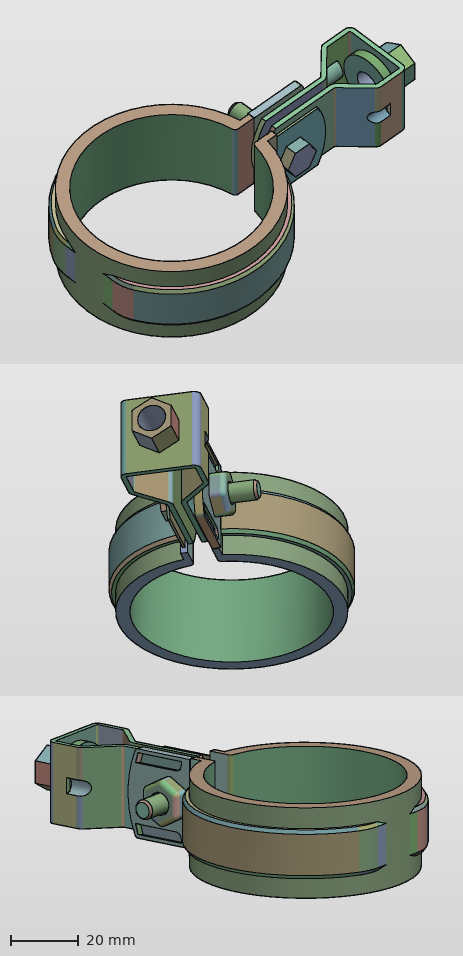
import cadquery as cq
import math


ring_outer_radius = 34.4
ring_wall = 4.3
ring_height = 28.0
ring_bore_radius = ring_outer_radius - ring_wall
band_outer_radius = 72.8 / 2
band_height = 15.1
band_chamfer_radial = 0.8
band_chamfer_axial = 1.2
band_flat_drop = 33.9
band_flat_blend = 15.0
ear_inner_x = 3.7
ear_outer_x = 5.9
ear_end_y = 37.6
ear_inner_fillet = 1.3

bolt_y = 45.1
bolt_diameter = 6.0
bolt_end_x = -20.0
bolt_tip_diameter = 4.9
bolt_tip_length = 0.9
bolt_head_flats = 10.0
bolt_head_height = 3.9
bolt_hole_diameter = 7.0
nut_flats = 13.0
nut_height = 5.0
nut_fillet = 1.5

thick_tab_outer_x = -6.5
thick_tab_inner_x = -ear_inner_x
thick_tab_end_y = 60.2
thick_tab_width = 27.6
thick_tab_sagitta = 2.8
thick_tab_corner_fillet = 1.3
thin_tab_inner_x = 4.5
thin_tab_thickness = 0.8
thin_tab_end_y = 58.4
thin_tab_width = 24.2
thin_tab_sagitta = 3.1
thin_tab_outer_x = thin_tab_inner_x + thin_tab_thickness

recess_depth = 0.9
recess_ramp_height = 0.8
recess_inner_z = 9.4
recess_outer_z = 12.6
recess_start_y = 40.7
recess_end_y = 57.5
recess_end_slant = 0.9
recess_ramp_length = 1.2
recess_corner_fillet = 2.0

sheet = 1.7
top_bend_radius = 2.2
shoulder_bend_radius = 2.6
neck_bend_radius = 1.3
bracket_width = 25.1
bracket_half_x = 12.2
bracket_top_y = 85.5
shoulder_y = 73.6
arm_gap = 2.6
arm_outer_x = arm_gap / 2 + sheet
arm_tip_y = 35.7
arm_end_sagitta = 4.4

groove_end_y = 78.5
groove_radius = 2.5
groove_back_radius = groove_radius + sheet

zone_margin = 0.6

stem_end_y = 94.5
stem_flats = 12.0
stem_neck_diameter = 10.5
stem_bore_diameter = 8.5
flange_diameter = 20.0
flange_thickness = 3.1


def block(x_min, x_max, y_min, y_max, height):
    """Box between the given X and Y limits, centred on Z = 0."""
    size = (x_max - x_min, y_max - y_min, height)
    return cq.Workplane("XY").box(*size).translate(((x_min + x_max) / 2, (y_min + y_max) / 2, 0))


def rod_x(diameter, x_min, x_max):
    """Cylinder on the bolt axis."""
    return cq.Workplane("YZ", origin=(x_min, bolt_y, 0)).circle(diameter / 2).extrude(x_max - x_min)


def rod_y(diameter, y_min, y_max, x=0):
    """Cylinder along Y at the given X."""
    return cq.Workplane("XZ", origin=(x, y_max, 0)).circle(diameter / 2).extrude(y_max - y_min)


def zone(half_x, y):
    """Selector for everything near the given Y, out to half_x on both sides."""
    return cq.selectors.BoxSelector(
        (-half_x - zone_margin, y - zone_margin, -ring_height),
        (half_x + zone_margin, y + zone_margin, ring_height),
    )


def corner_diameter(flats):
    """Diameter across the corners of a hexagon."""
    return flats / math.cos(math.pi / 6)


def make_band():
    """Solid disc of the band, flattened at -Y, with chamfered rims."""
    blend_centre_y = band_flat_blend - band_flat_drop
    blend_centre_x = math.sqrt((band_outer_radius - band_flat_blend) ** 2 - blend_centre_y ** 2)
    centre_angle = math.atan2(blend_centre_y, blend_centre_x)
    middle_angle = (centre_angle - math.pi / 2) / 2
    tangent_x = band_outer_radius * math.cos(centre_angle)
    tangent_y = band_outer_radius * math.sin(centre_angle)
    middle_x = blend_centre_x + band_flat_blend * math.cos(middle_angle)
    middle_y = blend_centre_y + band_flat_blend * math.sin(middle_angle)
    disc = (
        cq.Workplane("XY", origin=(0, 0, -band_height / 2))
        .moveTo(tangent_x, tangent_y)
        .threePointArc((0, band_outer_radius), (-tangent_x, tangent_y))
        .threePointArc((-middle_x, middle_y), (-blend_centre_x, -band_flat_drop))
        .lineTo(blend_centre_x, -band_flat_drop)
        .threePointArc((middle_x, middle_y), (tangent_x, tangent_y))
        .close()
        .extrude(band_height)
    )
    for rim in ("<Z", ">Z"):
        disc = disc.faces(rim).chamfer(band_chamfer_axial, band_chamfer_radial)
    return disc


def make_ring():
    ring = cq.Workplane("XY").circle(ring_outer_radius).extrude(ring_height / 2, both=True)
    ring = ring.union(make_band())
    ring = ring.union(block(-ear_outer_x, ear_outer_x, ring_bore_radius, ear_end_y, ring_height))
    ring = ring.cut(cq.Workplane("XY").circle(ring_bore_radius).extrude(ring_height, both=True))
    ring = ring.cut(block(-ear_inner_x, ear_inner_x, 0, ear_end_y, ring_height))
    corner_y = math.sqrt(ring_bore_radius ** 2 - ear_inner_x ** 2)
    corners = zone(ear_inner_x, corner_y)
    return ring.edges("|Z").edges(corners).fillet(ear_inner_fillet)


def make_tab(x_min, x_max, end_y, width, sagitta):
    """Flat tab that stands on an ear, with an arched free end and a bolt hole."""
    half_width = width / 2
    corner_y = end_y - sagitta
    tab = (
        cq.Workplane("YZ", origin=(x_min, 0, 0))
        .moveTo(ear_end_y, -half_width)
        .lineTo(corner_y, -half_width)
        .threePointArc((end_y, 0), (corner_y, half_width))
        .lineTo(ear_end_y, half_width)
        .close()
        .extrude(x_max - x_min)
    )
    return tab.cut(rod_x(bolt_hole_diameter, x_min, x_max))


def make_thick_tab():
    tab = make_tab(
        thick_tab_outer_x, thick_tab_inner_x, thick_tab_end_y, thick_tab_width, thick_tab_sagitta
    )
    tab = tab.edges("|X").edges(">Y").fillet(thick_tab_corner_fillet)
    recess = (
        cq.Workplane("YZ", origin=(thick_tab_outer_x, 0, 0))
        .polyline([
            (recess_start_y, recess_inner_z),
            (recess_end_y, recess_inner_z),
            (recess_end_y - recess_end_slant, recess_outer_z),
            (recess_start_y, recess_outer_z),
        ])
        .close()
        .extrude(recess_depth)
        .edges("|X").edges("<Y").edges("<Z")
        .fillet(recess_corner_fillet)
        .faces(">X").edges(">Y")
        .chamfer(recess_ramp_height, recess_ramp_length)
    )
    return tab.cut(recess).cut(recess.mirror("XY"))


def make_bracket():
    slope_run = bracket_half_x - arm_outer_x
    neck_y = shoulder_y - slope_run
    open_y = arm_tip_y - 2 * sheet
    outline = (
        cq.Workplane("XY", origin=(0, 0, -bracket_width / 2))
        .polyline([
            (-arm_outer_x, open_y),
            (-arm_outer_x, neck_y),
            (-bracket_half_x, shoulder_y),
            (-bracket_half_x, bracket_top_y),
            (bracket_half_x, bracket_top_y),
            (bracket_half_x, shoulder_y),
            (arm_outer_x, neck_y),
            (arm_outer_x, open_y),
        ])
        .close()
        .extrude(bracket_width)
    )
    bends = (
        (neck_y, neck_bend_radius),
        (shoulder_y, shoulder_bend_radius),
        (bracket_top_y, top_bend_radius),
    )
    for bend_y, radius in bends:
        outline = outline.edges("|Z").edges(zone(bracket_half_x, bend_y)).fillet(radius)
    hollow = outline.faces("<Z").wires().toPending().offset2D(-sheet).extrude(bracket_width, combine=False)
    bracket = outline.cut(hollow)

    half_width = bracket_width / 2
    side_profile = (
        cq.Workplane("YZ")
        .moveTo(bracket_top_y, -half_width)
        .lineTo(arm_tip_y + arm_end_sagitta, -half_width)
        .threePointArc((arm_tip_y, 0), (arm_tip_y + arm_end_sagitta, half_width))
        .lineTo(bracket_top_y, half_width)
        .close()
        .extrude(bracket_half_x, both=True)
    )
    bracket = bracket.intersect(side_profile)

    for x in (-bracket_half_x, bracket_half_x):
        bulge = rod_y(2 * groove_back_radius, neck_y, groove_end_y, x).intersect(outline)
        bracket = bracket.union(bulge)
    for x in (-bracket_half_x, bracket_half_x):
        bracket = bracket.cut(rod_y(2 * groove_radius, neck_y, groove_end_y, x))

    bracket = bracket.cut(rod_y(stem_neck_diameter, bracket_top_y - sheet, bracket_top_y))
    return bracket.cut(rod_x(bolt_hole_diameter, -arm_outer_x, arm_outer_x))


def make_stem():
    inner_y = bracket_top_y - sheet
    hexagon = (
        cq.Workplane("XZ", origin=(0, stem_end_y, 0))
        .transformed(rotate=(0, 0, 90))
        .polygon(6, corner_diameter(stem_flats))
        .extrude(stem_end_y - bracket_top_y)
    )
    stem = hexagon.union(rod_y(stem_neck_diameter, inner_y, bracket_top_y))
    stem = stem.union(rod_y(flange_diameter, inner_y - flange_thickness, inner_y))
    return stem.cut(rod_y(stem_bore_diameter, inner_y - flange_thickness, stem_end_y))


def make_bolt():
    head = (
        cq.Workplane("YZ", origin=(thin_tab_outer_x, bolt_y, 0))
        .polygon(6, corner_diameter(bolt_head_flats))
        .extrude(bolt_head_height)
    )
    shank = rod_x(bolt_diameter, bolt_end_x, thin_tab_outer_x)
    shank = shank.faces("<X").chamfer(bolt_tip_length, (bolt_diameter - bolt_tip_diameter) / 2)
    return head.union(shank)


def make_nut():
    nut = (
        cq.Workplane("YZ", origin=(thick_tab_outer_x, bolt_y, 0))
        .transformed(rotate=(0, 0, 90))
        .polygon(6, corner_diameter(nut_flats))
        .extrude(-nut_height)
        .edges("|X")
        .fillet(nut_fillet)
        .faces("<X")
        .edges()
        .fillet(nut_fillet)
    )
    return nut.cut(rod_x(bolt_hole_diameter, thick_tab_outer_x - nut_height, thick_tab_outer_x))


ring = make_ring()
thick_tab = make_thick_tab()
thin_tab = make_tab(
    thin_tab_inner_x, thin_tab_outer_x, thin_tab_end_y, thin_tab_width, thin_tab_sagitta
)
bracket = make_bracket()
stem = make_stem()
bolt = make_bolt()
nut = make_nut()

result = cq.Compound.makeCompound([
    ring.val(),
    thick_tab.val(),
    thin_tab.val(),
    bracket.val(),
    stem.val(),
    bolt.val(),
    nut.val(),
])